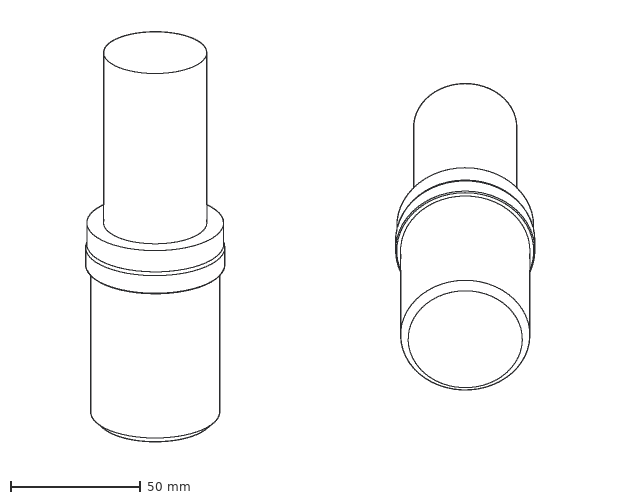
import cadquery as cq

total_height = 155.0
shank_diameter = 40.0
collar_diameter = 53.0
flange_diameter = 54.0
body_diameter = 50.0

flange_bottom = 64.6
flange_top = 74.0
collar_top = 83.0

body_chamfer = 3.0
flange_top_bevel_height = 1.4
flange_bottom_chamfer = 0.5


def cylinder(diameter, bottom, top):
    """Cylinder on the Z axis between two heights."""
    return cq.Workplane("XY").workplane(offset=bottom).circle(diameter / 2).extrude(top - bottom)


body = cylinder(body_diameter, 0, flange_bottom).faces("<Z").chamfer(body_chamfer)

flange_top_bevel_width = (flange_diameter - collar_diameter) / 2
flange = (
    cylinder(flange_diameter, flange_bottom, flange_top)
    .faces("<Z").chamfer(flange_bottom_chamfer)
    .faces(">Z").chamfer(flange_top_bevel_height, flange_top_bevel_width)
)

collar = cylinder(collar_diameter, flange_top, collar_top)
shank = cylinder(shank_diameter, collar_top, total_height)

result = body.union(flange).union(collar).union(shank)